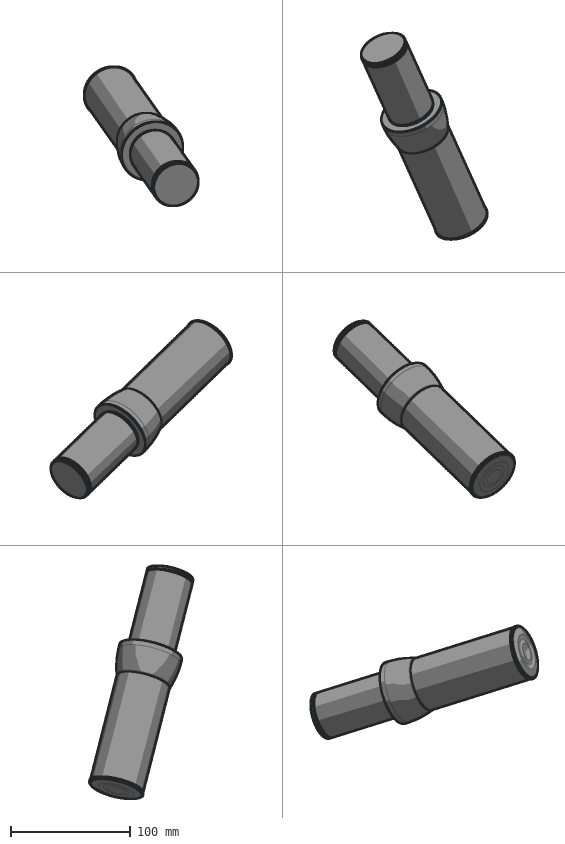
import cadquery as cq

total_length = 196.0

head_radius = 23.3
head_length = 3.1
rim_setback = 2.0
face_radius = 21.2
face_setback = 0.8
bevel_radius = 22.3
bevel_setback = 1.2
outer_ridge_radius = 15.3
valley_radius = 11.0
valley_depth = 0.5
inner_ridge_radius = 7.5
center_depth = 1.0

body_radius = 45.9 / 2
body_end = 98.2
flare_start = 99.4
flare_start_radius = 23.3
flare_bulge = 0.8
collar_radius = 54.0 / 2
collar_start = 121.0
collar_end = 125.8
collar_chamfer = 0.4
relief_radius = 19.6
relief_end = 127.0
shank_radius = 40.0 / 2
shank_start = 127.5
groove_radius = 39.5 / 2
groove_start = 191.9
groove_floor_start = 192.5
groove_end = 193.0
end_chamfer = 0.8


def revolve_about_x(profile):
    """Close a half profile in the XY plane and turn it about the X axis."""
    return profile.close().revolve(360, (0, 0, 0), (1, 0, 0))


def make_cutting_head():
    """Disc with two concentric ridges on its end face and a beveled rim."""
    profile = (
        cq.Workplane("XY")
        .moveTo(center_depth, 0)
        .lineTo(0, inner_ridge_radius)
        .lineTo(valley_depth, valley_radius)
        .lineTo(0, outer_ridge_radius)
        .lineTo(face_setback, face_radius)
        .lineTo(bevel_setback, bevel_radius)
        .lineTo(rim_setback, head_radius)
        .lineTo(head_length, head_radius)
        .lineTo(head_length, 0)
    )
    return revolve_about_x(profile)


def make_holder():
    """Round holder behind the head, with a flared collar and a stepped shank."""
    flare_mid_x = (flare_start + collar_start) / 2
    flare_mid_radius = (flare_start_radius + collar_radius) / 2 + flare_bulge
    profile = (
        cq.Workplane("XY")
        .moveTo(head_length, 0)
        .lineTo(head_length, body_radius)
        .lineTo(body_end, body_radius)
        .lineTo(flare_start, flare_start_radius)
        .threePointArc((flare_mid_x, flare_mid_radius), (collar_start, collar_radius))
        .lineTo(collar_end - collar_chamfer, collar_radius)
        .lineTo(collar_end, collar_radius - collar_chamfer)
        .lineTo(collar_end, relief_radius)
        .lineTo(relief_end, relief_radius)
        .lineTo(shank_start, shank_radius)
        .lineTo(groove_start, shank_radius)
        .lineTo(groove_floor_start, groove_radius)
        .lineTo(groove_end, groove_radius)
        .lineTo(groove_end, shank_radius)
        .lineTo(total_length - end_chamfer, shank_radius)
        .lineTo(total_length, shank_radius - end_chamfer)
        .lineTo(total_length, 0)
    )
    return revolve_about_x(profile)


cutting_head = make_cutting_head()
holder = make_holder()

result = cq.Compound.makeCompound([cutting_head.val(), holder.val()])